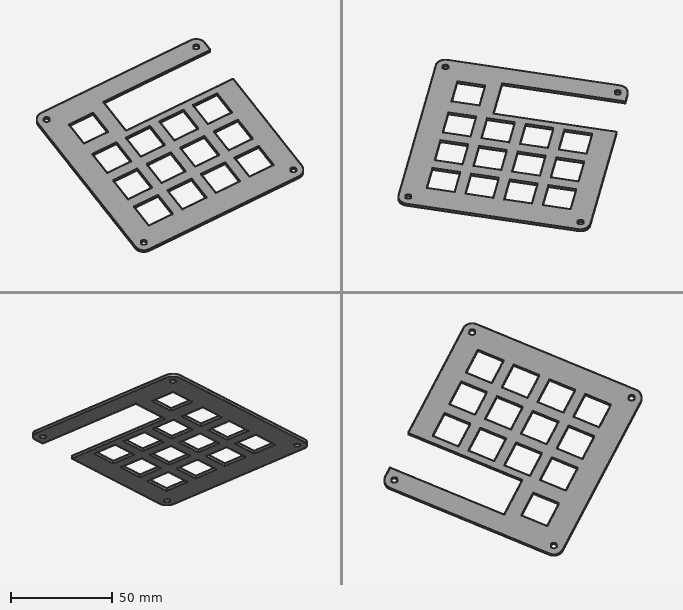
import cadquery as cq

length = 101.1
width = 96.9
thickness = 1.6
corner_radius = 5.0

hole_diameter = 3.1
hole_inset = corner_radius

key_size = 14.1
key_pitch = 19.5
key_columns = 3
key_rows = 4
grid_center_x = 11.3
grid_center_y = 0.5
lone_key_x = -30.0

slot_inset = 10.3
slot_width = 21.3
slot_depth = 62.3


def key_centers():
    """Centres of all the square openings."""
    first_x = grid_center_x - (key_columns - 1) / 2 * key_pitch
    first_y = grid_center_y - (key_rows - 1) / 2 * key_pitch
    centers = [(lone_key_x, first_y)]
    for column in range(key_columns):
        for row in range(key_rows):
            centers.append((first_x + column * key_pitch, first_y + row * key_pitch))
    return centers


plate = (
    cq.Workplane("XY")
    .box(length, width, thickness)
    .edges("|Z")
    .fillet(corner_radius)
)

mounting_holes = (
    cq.Workplane("XY")
    .rect(length - 2 * hole_inset, width - 2 * hole_inset, forConstruction=True)
    .vertices()
    .circle(hole_diameter / 2)
    .extrude(thickness, both=True)
)

key_openings = (
    cq.Workplane("XY")
    .pushPoints(key_centers())
    .rect(key_size, key_size)
    .extrude(thickness, both=True)
)

slot_center_x = -length / 2 + slot_inset + slot_width / 2
slot_center_y = width / 2 - slot_depth / 2
slot = (
    cq.Workplane("XY")
    .center(slot_center_x, slot_center_y)
    .rect(slot_width, slot_depth)
    .extrude(thickness, both=True)
)

result = plate.cut(mounting_holes).cut(key_openings).cut(slot)